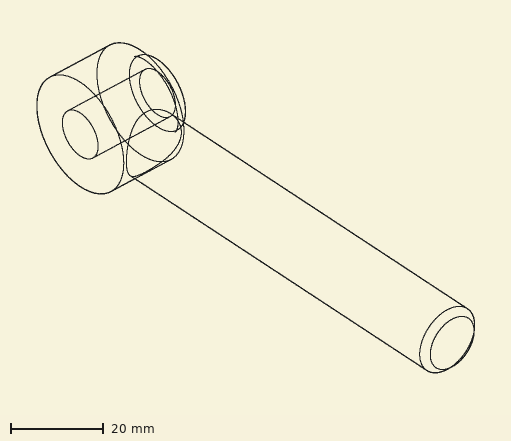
import cadquery as cq
import math

overall_length = 124.0
hub_diameter = 28.0
hub_width = 17.5
collar_height = 5.0
bore_diameter = 11.5
rod_diameter = 16.0
rod_chamfer = 1.6

hub_radius = hub_diameter / 2
collar_radius = hub_radius - collar_height
hub_front = -hub_width / 2
hub_back = hub_width / 2
collar_back = hub_back + collar_height
rod_length = overall_length - hub_radius


def make_hub():
    """Hub around the Y axis, with a concave quarter-round collar on its back."""
    fillet_offset = collar_height * math.sin(math.radians(45))
    arc_middle = (hub_radius - fillet_offset, collar_back - fillet_offset)
    profile = (
        cq.Workplane("XY")
        .moveTo(0, hub_front)
        .lineTo(hub_radius, hub_front)
        .lineTo(hub_radius, hub_back)
        .threePointArc(arc_middle, (collar_radius, collar_back))
        .lineTo(0, collar_back)
        .close()
    )
    return profile.revolve(360, (0, 0, 0), (0, 1, 0))


def make_rod():
    """Round rod from the hub centre along +X, chamfered at its free end."""
    rod = cq.Workplane("YZ").circle(rod_diameter / 2).extrude(rod_length)
    return rod.faces(">X").chamfer(rod_chamfer)


def make_bore():
    """Through bore along the hub axis."""
    bore_length = collar_back - hub_front
    return (
        cq.Workplane("XZ", origin=(0, collar_back, 0))
        .circle(bore_diameter / 2)
        .extrude(bore_length)
    )


result = make_hub().union(make_rod()).cut(make_bore())